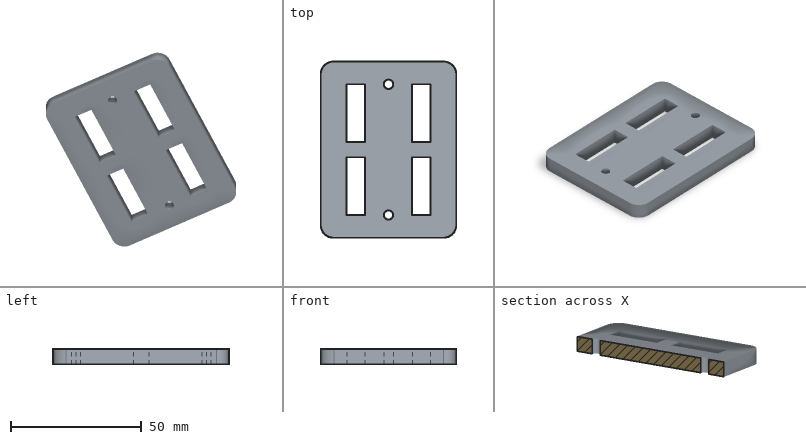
import cadquery as cq

plate_width = 52.0
plate_length = 67.5
plate_thickness = 6.0
corner_radius = 5.0

window_width = 7.0
window_length = 22.0
window_gap_y = 6.0
window_spacing_x = 25.0
window_spacing_y = window_length + window_gap_y

screw_hole_diameter = 3.5
screw_hole_spacing = 2 * window_length + window_gap_y


def make_plate():
    """Rounded plate resting on the XY plane, centred on the Z axis."""
    plate_size = (plate_width, plate_length, plate_thickness)
    plate = cq.Workplane("XY").box(*plate_size, centered=(True, True, False))
    return plate.edges("|Z").fillet(corner_radius)


def cut_windows(plate):
    """Cut the two-by-two pattern of windows through the plate."""
    return (
        plate.faces(">Z")
        .workplane(origin=(0, 0, plate_thickness))
        .rarray(window_spacing_x, window_spacing_y, 2, 2)
        .rect(window_width, window_length)
        .cutThruAll()
    )


def drill_screw_holes(plate):
    """Drill the two screw holes through the plate."""
    hole_y = screw_hole_spacing / 2
    return (
        plate.faces(">Z")
        .workplane(origin=(0, 0, plate_thickness))
        .pushPoints([(0, -hole_y), (0, hole_y)])
        .hole(screw_hole_diameter)
    )


result = drill_screw_holes(cut_windows(make_plate()))